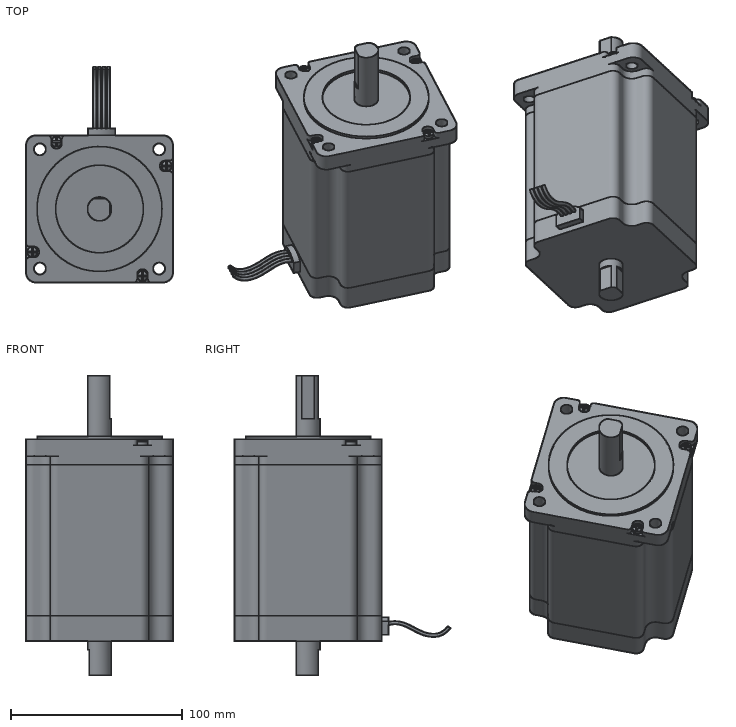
import cadquery as cq
import math


motor_size = 86.0
motor_half = motor_size / 2
stack_length = 118.0
cap_length = 15.0
flange_thickness = 10.0
flange_corner_radius = 6.0

front_face_z = stack_length
flange_back_z = front_face_z - flange_thickness
front_seam_z = front_face_z - cap_length
rear_seam_z = cap_length

mounting_hole_offset = 69.6 / 2
mounting_hole_diameter = 6.8
cove_radius = 6.1
body_edge_radius = 4.6
cove_wall = mounting_hole_offset - cove_radius

pilot_diameter = 73.0
pilot_height = 1.6
pilot_recess_diameter = 51.2
pilot_recess_depth = pilot_height

shaft_diameter = 14.0
shaft_radius = shaft_diameter / 2
shaft_flat_offset = 6.0
front_shaft_length = 37.0
front_flat_length = 25.0
rear_shaft_length = 20.0
rear_flat_length = 15.0

screw_count = 4
screw_side_offset = 25.1
screw_axis_radius = 39.2
screw_head_radius = 3.0
screw_head_height = 2.1
screw_dome_height = 1.3
screw_slot_width = 1.0
screw_slot_depth = 0.8
pocket_depth = 3.7
pocket_half_width = 3.2
pocket_end_radius = 38.4
pocket_mouth_radius = 2.0

gland_center_x = 1.2
gland_width = 16.0
gland_projection = 4.0
gland_bottom_z = 3.7
gland_shoulder_z = 11.5
gland_crown_z = 14.1

wire_count = 4
wire_pitch = 2.7
wire_diameter = 2.0
wire_root_depth = 1.0
wire_root_z = 10.1
wire_root_angle = math.radians(15)
wire_crest_y = 50.6
wire_crest_z = 10.8
wire_valley_y = 73.3
wire_valley_z = 3.4
wire_reach_y = 83.13
wire_tip_z = 8.2
wire_tip_angle = math.radians(52)


def cylinder(diameter, bottom_z, height):
    return cq.Workplane("XY").workplane(offset=bottom_z).circle(diameter / 2).extrude(height)


def coved_block(bottom_z, top_z):
    """Square block whose corners are notched, with rounded edges and a cove in each notch."""
    height = top_z - bottom_z
    notch_size = motor_half - cove_wall
    notch_center = motor_half - notch_size / 2
    corners = [(sx * notch_center, sy * notch_center) for sx in (-1, 1) for sy in (-1, 1)]
    base = cq.Workplane("XY").workplane(offset=bottom_z)
    block = base.rect(motor_size, motor_size).extrude(height)
    block = block.cut(base.pushPoints(corners).rect(notch_size, notch_size).extrude(height))

    def edges_at(distance):
        """Vertical edges whose furthest distance from the XZ or YZ plane is the given one."""
        centers = [(edge, edge.Center()) for edge in block.edges("|Z").vals()]
        return [edge for edge, at in centers if math.isclose(max(abs(at.x), abs(at.y)), distance)]

    block = block.newObject(edges_at(cove_wall)).fillet(cove_radius)
    return block.newObject(edges_at(motor_half)).fillet(body_edge_radius)


def shaft_flats(x_side, bottom_z, height):
    """Cutters for the two flats of a shaft end: one facing +Y, one facing the given X side."""
    x_flat = cq.Workplane("XY").box(
        shaft_radius, shaft_diameter, height, centered=(True, True, False)
    ).translate((x_side * (shaft_flat_offset + shaft_radius / 2), 0, bottom_z))
    y_flat = cq.Workplane("XY").box(
        shaft_diameter, shaft_radius, height, centered=(True, True, False)
    ).translate((0, shaft_flat_offset + shaft_radius / 2, bottom_z))
    return x_flat.union(y_flat)


def screw_pocket():
    """Round-ended pocket for the screw on the -Y side, flaring out to the flange side."""
    mouth_y = -motor_half
    flare_y = mouth_y + pocket_mouth_radius
    mouth_half = pocket_half_width + pocket_mouth_radius
    return (
        cq.Workplane("XY")
        .workplane(offset=front_face_z - pocket_depth)
        .moveTo(-mouth_half, mouth_y)
        .radiusArc((-pocket_half_width, flare_y), -pocket_mouth_radius)
        .lineTo(-pocket_half_width, -pocket_end_radius)
        .threePointArc((0, pocket_half_width - pocket_end_radius), (pocket_half_width, -pocket_end_radius))
        .lineTo(pocket_half_width, flare_y)
        .radiusArc((mouth_half, mouth_y), -pocket_mouth_radius)
        .close()
        .extrude(pocket_depth)
    )


def screw_head():
    """Domed, cross-slotted head of the screw on the -Y side, standing on its pocket floor."""
    top_height = screw_head_height + screw_dome_height
    dome_radius = (screw_head_radius**2 + screw_dome_height**2) / (2 * screw_dome_height)
    head = (
        cq.Workplane("XZ")
        .lineTo(screw_head_radius, 0)
        .lineTo(screw_head_radius, screw_head_height)
        .radiusArc((0, top_height), -dome_radius)
        .close()
        .revolve(360, (0, 0, 0), (0, 1, 0))
    )
    slot_plane = cq.Workplane("XY").workplane(offset=top_height - screw_slot_depth)
    for angle in (0, 90):
        slot = slot_plane.rect(2 * screw_head_radius, screw_slot_width).extrude(screw_slot_depth)
        head = head.cut(slot.rotate((0, 0, 0), (0, 0, 1), angle))
    return head.translate((0, -screw_axis_radius, front_face_z - pocket_depth))


def wire_path():
    """Centre line of a lead wire in the YZ plane, from inside the gland to the free tip."""
    root_y = motor_half + gland_projection - wire_root_depth
    tip_y = wire_reach_y - wire_diameter / 2 * math.sin(wire_tip_angle)
    points = [
        (root_y, wire_root_z),
        (wire_crest_y, wire_crest_z),
        (wire_valley_y, wire_valley_z),
        (tip_y, wire_tip_z),
    ]
    slopes = [wire_root_angle, 0, 0, wire_tip_angle]
    directions = [(math.cos(slope), math.sin(slope)) for slope in slopes]
    return cq.Workplane("YZ").spline(points, tangents=directions)


def lead_wire(center_x):
    path = wire_path()
    rail = path.val()
    plane = cq.Plane(origin=rail.startPoint(), xDir=(1, 0, 0), normal=rail.tangentAt(0))
    wire = cq.Workplane(plane).circle(wire_diameter / 2).sweep(path)
    return wire.translate((center_x, 0, 0))


def lead_gland():
    """Block with a flat bottom and an arched top, standing out from the +Y side."""
    half_width = gland_width / 2
    return (
        cq.Workplane("XZ", origin=(gland_center_x, motor_half, 0))
        .moveTo(-half_width, gland_bottom_z)
        .lineTo(half_width, gland_bottom_z)
        .lineTo(half_width, gland_shoulder_z)
        .threePointArc((0, gland_crown_z), (-half_width, gland_shoulder_z))
        .close()
        .extrude(-gland_projection)
    )


def make_front_cap():
    flange = (
        cq.Workplane("XY")
        .workplane(offset=flange_back_z)
        .rect(motor_size, motor_size)
        .extrude(flange_thickness)
        .edges("|Z")
        .fillet(flange_corner_radius)
    )
    holes = (
        cq.Workplane("XY")
        .workplane(offset=flange_back_z)
        .rect(2 * mounting_hole_offset, 2 * mounting_hole_offset, forConstruction=True)
        .vertices()
        .circle(mounting_hole_diameter / 2)
        .extrude(flange_thickness)
    )
    cap = flange.cut(holes).union(coved_block(front_seam_z, flange_back_z))

    pilot_top_z = front_face_z + pilot_height
    cap = cap.union(cylinder(pilot_diameter, front_face_z, pilot_height))
    recess_z = pilot_top_z - pilot_recess_depth
    cap = cap.cut(cylinder(pilot_recess_diameter, recess_z, pilot_recess_depth))

    pocket = screw_pocket().translate((screw_side_offset, 0, 0))
    head = screw_head().translate((screw_side_offset, 0, 0))
    for index in range(screw_count):
        angle = index * 360 / screw_count
        cap = cap.cut(pocket.rotate((0, 0, 0), (0, 0, 1), angle))
        cap = cap.union(head.rotate((0, 0, 0), (0, 0, 1), angle))

    shaft_end_z = front_face_z + front_shaft_length
    shaft = cylinder(shaft_diameter, recess_z, shaft_end_z - recess_z)
    shaft = shaft.cut(shaft_flats(1, shaft_end_z - front_flat_length, front_flat_length))
    return cap.union(shaft)


def make_stator_stack():
    return coved_block(rear_seam_z, front_seam_z)


def make_rear_cap():
    cap = coved_block(0, rear_seam_z)
    shaft = cylinder(shaft_diameter, -rear_shaft_length, rear_shaft_length)
    shaft = shaft.cut(shaft_flats(-1, -rear_shaft_length, rear_flat_length))
    cap = cap.union(shaft).union(lead_gland())
    for index in range(wire_count):
        center_x = gland_center_x + (index - (wire_count - 1) / 2) * wire_pitch
        cap = cap.union(lead_wire(center_x))
    return cap


front_cap = make_front_cap()
stator_stack = make_stator_stack()
rear_cap = make_rear_cap()

result = cq.Compound.makeCompound([front_cap.val(), stator_stack.val(), rear_cap.val()])